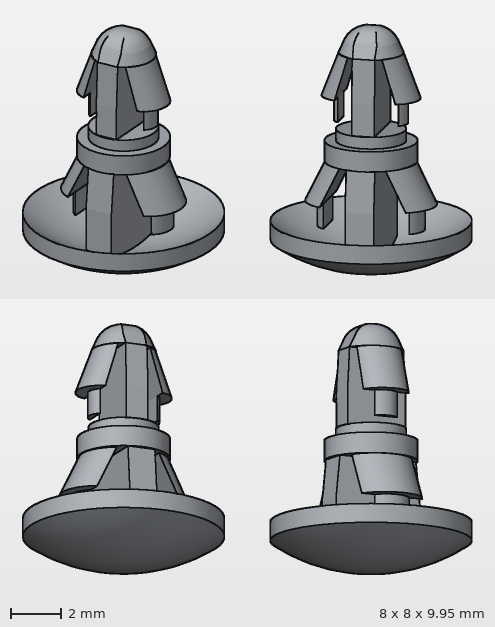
import cadquery as cq
import math

DISC_DIAMETER = 8.0
DISC_SAG = 1.23
RIM_HEIGHT = 0.76
BOWL_DEPTH = 1.37
RIM_TOP = DISC_SAG + RIM_HEIGHT

COLLAR_DIAMETER = 3.7
COLLAR_BOTTOM = 4.45
COLLAR_TOP = 5.27
STEP_DIAMETER = 2.8
STEP_TOP = 5.75

LOWER_BLADE_THICKNESS = 1.17
LOWER_BLADE_TOP_WIDTH = 3.42
LOWER_BLADE_WIDTH = 3.77
LOWER_ARM_BOTTOM = 2.75
LOWER_ARM_WIDTH = 2.72
LOWER_ARM_TOP_OUTSIDE = 1.81
LOWER_ARM_TOP_INSIDE = 0.92
LOWER_ARM_TIP = 2.66
LOWER_ARM_TIP_INSIDE = 1.76
LOWER_TAB_BOTTOM = 1.72
LOWER_TAB_OUTSIDE = 2.18
LOWER_TAB_WIDTH = 1.55

UPPER_BLADE_THICKNESS = 0.94
UPPER_BLADE_WIDTH = 2.62
UPPER_ARM_BOTTOM = 7.06
UPPER_ARM_WIDTH = 2.02
UPPER_ARM_TOP_INSIDE = 0.7
UPPER_ARM_TIP = 2.0
UPPER_ARM_TIP_INSIDE = 1.24
UPPER_TAB_BOTTOM = 6.05
UPPER_TAB_OUTSIDE = 1.5
UPPER_TAB_WIDTH = 1.01

CAP_BOTTOM = 8.88
SKIRT_TOP = 9.37
CAP_TOP = 9.95
CAP_RADIUS = 1.29
CAP_HALF_WIDTH = 1.21
SKIRT_TOP_RADIUS = 1.07
SKIRT_TOP_HALF_WIDTH = 0.97
CAP_FLAT_RADIUS = 0.15
CAP_FLAT_HALF_WIDTH = 0.06


def cylinder(diameter, bottom, top):
    return cq.Workplane("XY").workplane(offset=bottom).circle(diameter / 2).extrude(top - bottom)


def spherical_bowl(sag, rim, top):
    """Solid whose spherical underside drops by `sag` below its edge at `rim`, flat at `top`."""
    radius = DISC_DIAMETER / 2
    sphere_radius = (radius**2 + sag**2) / (2 * sag)
    bottom = rim - sag
    middle_height = bottom + sphere_radius - math.sqrt(sphere_radius**2 - (radius / 2) ** 2)
    return (
        cq.Workplane("XZ")
        .moveTo(0, bottom)
        .threePointArc((radius / 2, middle_height), (radius, rim))
        .lineTo(radius, top)
        .lineTo(0, top)
        .close()
        .revolve(360, (0, 0, 0), (0, 1, 0))
    )


def space_above_disc():
    """Region from the concave face of the disc up to the collar."""
    return spherical_bowl(BOWL_DEPTH, RIM_TOP, COLLAR_BOTTOM)


def blade(thickness, width, bottom, shoulder, top, top_width):
    """Upright plate in the YZ plane whose edges lean inward above the shoulder."""
    half = width / 2
    half_top = top_width / 2
    return (
        cq.Workplane("YZ")
        .polyline([(-half, bottom), (half, bottom), (half, shoulder),
                   (half_top, top), (-half_top, top), (-half, shoulder)])
        .close()
        .extrude(thickness / 2, both=True)
    )


def rounded_section(sketch, inside, outside, width):
    """Circular segment on the +X side: a chord at `inside` and an arc reaching `outside`."""
    return (
        sketch
        .moveTo(inside, -width / 2)
        .threePointArc((outside, 0), (inside, width / 2))
        .close()
    )


def snap_arm(bottom, bottom_inside, bottom_outside, top, top_inside, top_outside, width):
    """Sloping arm on the +X side, flat inside and rounded outside."""
    foot = rounded_section(
        cq.Workplane("XY").workplane(offset=bottom), bottom_inside, bottom_outside, width
    )
    both_ends = rounded_section(
        foot.workplane(offset=top - bottom), top_inside, top_outside, width
    )
    return both_ends.loft(ruled=True)


def release_tab(inside, outside, width, bottom, top):
    """Upright tab below an arm on the +X side, flat inside and rounded outside."""
    base = cq.Workplane("XY").workplane(offset=bottom)
    return rounded_section(base, inside, outside, width).extrude(top - bottom)


def dome_profile(plane, bottom_half, skirt_half, flat_half):
    """Right half of the cap outline; the dome arc is level where it meets the flat top."""
    rise = CAP_TOP - SKIRT_TOP
    run = skirt_half - flat_half
    radius = (run**2 + rise**2) / (2 * rise)
    middle_drop = radius - math.sqrt(radius**2 - (run / 2) ** 2)
    return (
        cq.Workplane(plane)
        .moveTo(0, CAP_BOTTOM)
        .lineTo(bottom_half, CAP_BOTTOM)
        .lineTo(skirt_half, SKIRT_TOP)
        .threePointArc((flat_half + run / 2, CAP_TOP - middle_drop), (flat_half, CAP_TOP))
        .lineTo(0, CAP_TOP)
        .close()
    )


def make_cap():
    """Round dome trimmed on its +Y and -Y sides by a narrower arched profile."""
    dome = dome_profile("XZ", CAP_RADIUS, SKIRT_TOP_RADIUS, CAP_FLAT_RADIUS).revolve(
        360, (0, 0, 0), (0, 1, 0)
    )
    half_arch = dome_profile("YZ", CAP_HALF_WIDTH, SKIRT_TOP_HALF_WIDTH, CAP_FLAT_HALF_WIDTH).extrude(
        CAP_RADIUS, both=True
    )
    return dome.intersect(half_arch.union(half_arch.mirror("XZ")))


def make_disc():
    return spherical_bowl(DISC_SAG, DISC_SAG, RIM_TOP).cut(space_above_disc())


def make_stud():
    stud = cylinder(COLLAR_DIAMETER, COLLAR_BOTTOM, COLLAR_TOP)
    stud = stud.union(cylinder(STEP_DIAMETER, COLLAR_TOP, STEP_TOP))

    lower_blade = blade(LOWER_BLADE_THICKNESS, LOWER_BLADE_WIDTH, 0,
                        LOWER_ARM_BOTTOM, COLLAR_BOTTOM, LOWER_BLADE_TOP_WIDTH)
    stud = stud.union(lower_blade.intersect(space_above_disc()))
    stud = stud.union(blade(UPPER_BLADE_THICKNESS, UPPER_BLADE_WIDTH, STEP_TOP,
                            UPPER_ARM_BOTTOM, CAP_BOTTOM, 2 * CAP_HALF_WIDTH))
    stud = stud.union(make_cap())

    lower_arm = snap_arm(LOWER_ARM_BOTTOM, LOWER_ARM_TIP_INSIDE, LOWER_ARM_TIP,
                         COLLAR_BOTTOM, LOWER_ARM_TOP_INSIDE, LOWER_ARM_TOP_OUTSIDE, LOWER_ARM_WIDTH)
    lower_tab = release_tab(LOWER_ARM_TIP_INSIDE, LOWER_TAB_OUTSIDE, LOWER_TAB_WIDTH,
                            LOWER_TAB_BOTTOM, LOWER_ARM_BOTTOM)
    upper_arm = snap_arm(UPPER_ARM_BOTTOM, UPPER_ARM_TIP_INSIDE, UPPER_ARM_TIP,
                         CAP_BOTTOM, UPPER_ARM_TOP_INSIDE, CAP_RADIUS, UPPER_ARM_WIDTH)
    upper_tab = release_tab(UPPER_ARM_TIP_INSIDE, UPPER_TAB_OUTSIDE, UPPER_TAB_WIDTH,
                            UPPER_TAB_BOTTOM, UPPER_ARM_BOTTOM)
    for arm, tab in ((lower_arm, lower_tab), (upper_arm, upper_tab)):
        hook = arm.union(tab)
        stud = stud.union(hook).union(hook.mirror("YZ"))
    return stud


disc = make_disc()
stud = make_stud()

result = cq.Compound.makeCompound([disc.val(), *stud.vals()])